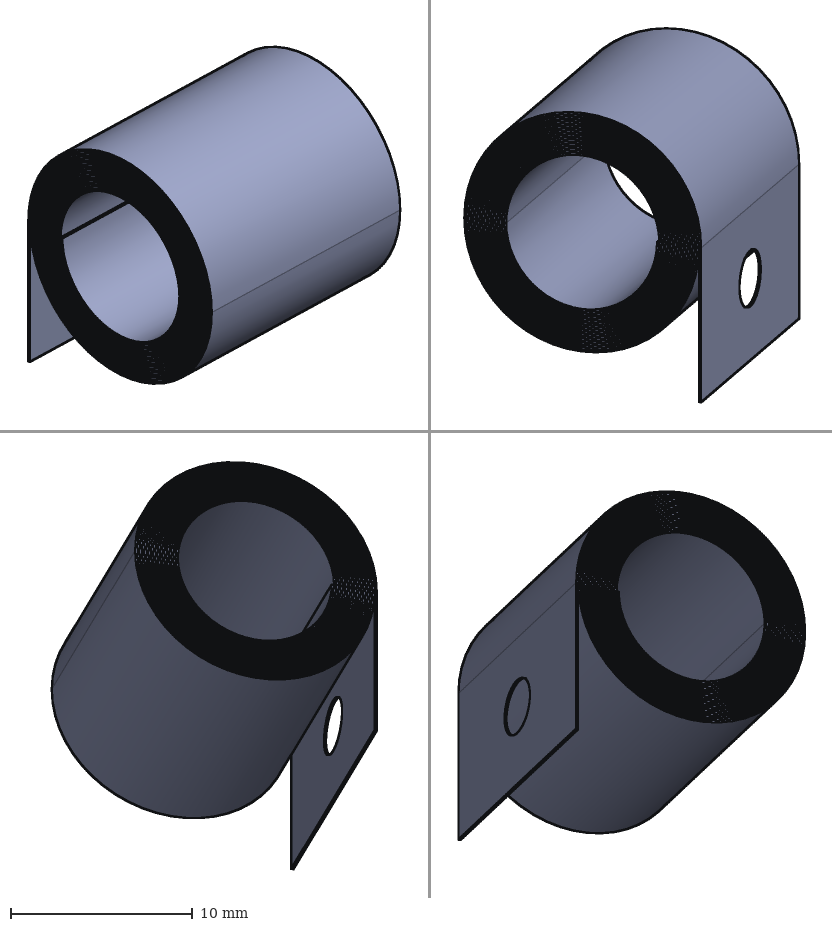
import cadquery as cq

overall_width = 13.97
overall_height = 15.98
strip_width = 15.0
turns = 19
bore_radius = 4.45
turn_gap = 0.002
hole_diameter = 3.25
hole_drop = 4.22

pitch = (overall_width + turn_gap - 2 * bore_radius) / (2 * turns + 1)
strip_thickness = pitch - turn_gap
coil_top = bore_radius + (turns - 0.5) * pitch + strip_thickness
tail_length = overall_height - coil_top
tail_inner_x = -(bore_radius + turns * pitch)
tail_outer_x = tail_inner_x - strip_thickness
upper_centre_x = -pitch / 2


def draw_coil_edge(path, start_radius, reverse=False):
    """Add one side of the coil: a lower and an upper half circle for every turn.

    Each turn starts and ends on the -X side. The path is followed from the bore
    outwards, or from the outside inwards when reverse is set.
    """
    order = reversed(range(turns)) if reverse else range(turns)
    for turn in order:
        lower_radius = start_radius + turn * pitch
        upper_radius = lower_radius + pitch / 2
        inner_end = (-lower_radius, 0)
        lower_middle = (0, -lower_radius)
        right_join = (lower_radius, 0)
        upper_middle = (upper_centre_x, upper_radius)
        outer_end = (-lower_radius - pitch, 0)
        if reverse:
            path = path.threePointArc(upper_middle, right_join)
            path = path.threePointArc(lower_middle, inner_end)
        else:
            path = path.threePointArc(lower_middle, right_join)
            path = path.threePointArc(upper_middle, outer_end)
    return path


def make_strip():
    """Wind the strip as one closed profile, ending in a straight tail, and extrude it."""
    outer_start_radius = bore_radius + strip_thickness
    profile = cq.Workplane("XZ").moveTo(-bore_radius, 0)
    profile = draw_coil_edge(profile, bore_radius)
    profile = profile.lineTo(tail_inner_x, -tail_length)
    profile = profile.lineTo(tail_outer_x, -tail_length)
    profile = profile.lineTo(tail_outer_x, 0)
    profile = draw_coil_edge(profile, outer_start_radius, reverse=True)
    return profile.close().extrude(strip_width / 2, both=True)


def make_tail_hole_cutter():
    """Round cutter that passes through the tail only and stops short of the coil."""
    tail_mid_x = (tail_inner_x + tail_outer_x) / 2
    return (
        cq.Workplane("YZ", origin=(tail_mid_x, 0, -hole_drop))
        .circle(hole_diameter / 2)
        .extrude(strip_thickness, both=True)
    )


result = make_strip().cut(make_tail_hole_cutter())